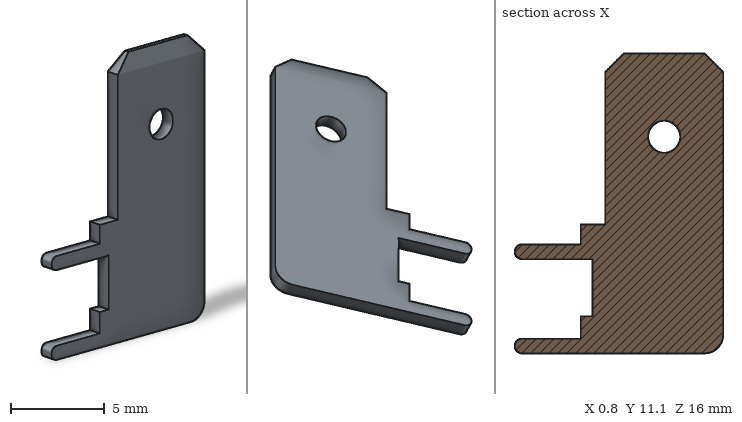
import cadquery as cq

thickness = 0.8
height = 16.0
length = 11.12
blade_width = 6.3
heel_radius = 1.0

tip_height = 1.0
tip_thickness = 0.29

hole_diameter = 1.7
hole_height = 11.55

pin_width = 0.8
pin_pitch = 5.02
shoulder_reach = 7.6
recess_reach = 6.98
upper_shoulder_top = 6.88
lower_shoulder_top = 2.0

back_y = length / 2
front_y = back_y - blade_width
shoulder_y = back_y - shoulder_reach
recess_y = back_y - recess_reach
pin_tip_y = back_y - length
pin_radius = pin_width / 2
pin_round_y = pin_tip_y + pin_radius
tip_base_z = height - tip_height


def make_plate():
    """Flat profile in the YZ plane, with both pins and their round ends."""
    outline = (
        cq.Workplane("YZ")
        .moveTo(back_y, 0)
        .lineTo(pin_round_y, 0)
        .threePointArc((pin_tip_y, pin_radius), (pin_round_y, pin_width))
        .lineTo(shoulder_y, pin_width)
        .lineTo(shoulder_y, lower_shoulder_top)
        .lineTo(recess_y, lower_shoulder_top)
        .lineTo(recess_y, pin_pitch)
        .lineTo(pin_round_y, pin_pitch)
        .threePointArc(
            (pin_tip_y, pin_pitch + pin_radius),
            (pin_round_y, pin_pitch + pin_width),
        )
        .lineTo(shoulder_y, pin_pitch + pin_width)
        .lineTo(shoulder_y, upper_shoulder_top)
        .lineTo(front_y, upper_shoulder_top)
        .lineTo(front_y, tip_base_z)
        .lineTo(front_y + tip_height, height)
        .lineTo(back_y - tip_height, height)
        .lineTo(back_y, tip_base_z)
        .close()
    )
    plate = outline.extrude(thickness / 2, both=True)
    return plate.faces("<Z").edges("|X").edges(">Y").fillet(heel_radius)


def make_taper_envelope():
    """Cross-section in the XZ plane that thins the plate towards its top."""
    half = thickness / 2
    half_tip = tip_thickness / 2
    return (
        cq.Workplane("XZ")
        .polyline([
            (-half, 0),
            (half, 0),
            (half, tip_base_z),
            (half_tip, height),
            (-half_tip, height),
            (-half, tip_base_z),
        ])
        .close()
        .extrude(length, both=True)
    )


def make_hole():
    """Cylinder that passes through the full thickness."""
    return (
        cq.Workplane("YZ", origin=(-thickness / 2, 0, 0))
        .center(back_y - blade_width / 2, hole_height)
        .circle(hole_diameter / 2)
        .extrude(thickness)
    )


result = make_plate().intersect(make_taper_envelope()).cut(make_hole())